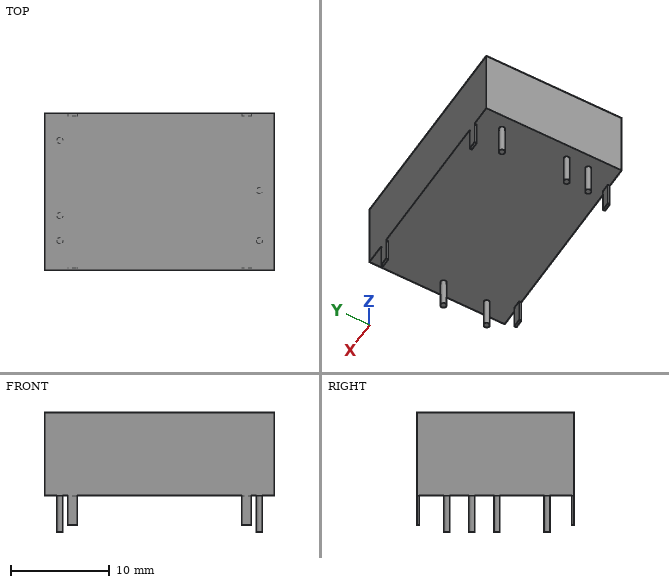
import cadquery as cq

case_length = 23.4
case_width = 16.0
total_height = 12.2

pin_diameter = 0.63
pin_length = 3.7
pin_row_spacing = 20.3
pin_pitch = 2.55
first_pin_y = -4.95
left_pin_steps = (0, 1, 4)
right_pin_steps = (0, 2)

tab_width = 1.0
tab_thickness = 0.25
tab_length = 3.0
tab_spacing = 17.71

case_height = total_height - pin_length


def make_case():
    return cq.Workplane("XY").box(case_length, case_width, case_height, centered=(True, True, False))


def make_pin_row(row_x, pin_steps):
    """Pins at whole steps of the pitch, counted from the front pin."""
    positions = [(row_x, first_pin_y + step * pin_pitch) for step in pin_steps]
    return cq.Workplane("XY").pushPoints(positions).circle(pin_diameter / 2).extrude(-pin_length)


def make_tabs():
    row_spacing = case_width - tab_thickness
    return (
        cq.Workplane("XY")
        .rarray(tab_spacing, row_spacing, 2, 2)
        .rect(tab_width, tab_thickness)
        .extrude(-tab_length)
    )


result = (
    make_case()
    .union(make_pin_row(-pin_row_spacing / 2, left_pin_steps))
    .union(make_pin_row(pin_row_spacing / 2, right_pin_steps))
    .union(make_tabs())
)